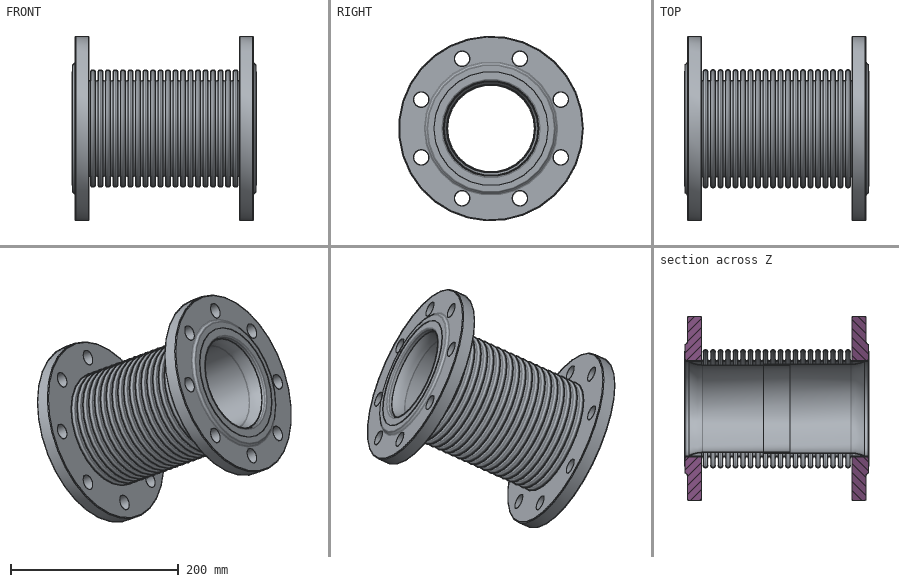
import cadquery as cq
import math

overall_length = 220.01
half_length = overall_length / 2
sheet = 0.6
diagonal = math.sqrt(0.5)

convolution_count = 20
convolution_pitch = 8.94
crest_diameter = 140.8
crest_radius = 2.8
neck_diameter = 114.3
lip_diameter = 136.0
lip_bend_radius = 1.5

flange_diameter = 220.0
flange_plate = 17.0
flange_edge_chamfer = 1.0
raised_height = 3.0
raised_base_diameter = 158.0
raised_top_diameter = raised_base_diameter - 2 * raised_height
raised_fillet = 1.0
bolt_count = 8
bolt_circle_diameter = 180.0
bolt_hole_diameter = 18.0

inner_liner_mouth = 111.3
inner_liner_bore = 103.5
outer_liner_mouth = neck_diameter - 2 * sheet - 2 * sheet
outer_liner_bore = 105.3
liner_setback = 5.6
liner_mouth_length = 16.0
liner_length = 120.0


def revolve_about_x(profile):
    return profile.close().revolve(360, (0, 0, 0), (1, 0, 0))


def mirror_to_far_end(body):
    return body.mirror("YZ")


def make_flange():
    raised_face = -half_length + sheet
    plate_front = raised_face + raised_height
    plate_back = plate_front + flange_plate
    bore_radius = neck_diameter / 2
    outer_radius = flange_diameter / 2
    top_y = raised_top_diameter / 2
    foot_y = raised_base_diameter / 2
    bend = lip_bend_radius
    bend_middle = bend * (1 - diagonal)
    chamfer = flange_edge_chamfer

    half_turn = math.radians(45 / 2)
    along_face = raised_fillet * math.tan(half_turn)
    along_rim = along_face * diagonal
    middle_axial = raised_fillet * (1 - math.cos(half_turn))
    middle_radial = raised_fillet * math.sin(half_turn) - along_face

    profile = (
        cq.Workplane("XY")
        .moveTo(raised_face + bend, bore_radius)
        .threePointArc(
            (raised_face + bend_middle, bore_radius + bend_middle),
            (raised_face, bore_radius + bend),
        )
        .lineTo(raised_face, top_y - along_face)
        .threePointArc(
            (raised_face + middle_axial, top_y + middle_radial),
            (raised_face + along_rim, top_y + along_rim),
        )
        .lineTo(plate_front - along_rim, foot_y - along_rim)
        .threePointArc(
            (plate_front - middle_axial, foot_y - middle_radial),
            (plate_front, foot_y + along_face),
        )
        .lineTo(plate_front, outer_radius - chamfer)
        .lineTo(plate_front + chamfer, outer_radius)
        .lineTo(plate_back - chamfer, outer_radius)
        .lineTo(plate_back, outer_radius - chamfer)
        .lineTo(plate_back, bore_radius)
    )
    holes = (
        cq.Workplane("YZ", origin=(plate_front, 0, 0))
        .polarArray(bolt_circle_diameter / 2, 180 / bolt_count, 360, bolt_count)
        .circle(bolt_hole_diameter / 2)
        .extrude(flange_plate)
    )
    return revolve_about_x(profile).cut(holes)


def trace_sheet_face(profile, neck_radius, tip_radius, crest_r, end, bend, side):
    """Follow one face of the bellows sheet from lip to lip; side is +1 towards +X, -1 towards -X."""
    root_r = convolution_pitch / 2 - crest_r
    crest_y = tip_radius - crest_r
    root_y = neck_radius + root_r
    crest_middle = crest_r * diagonal
    root_middle = root_r * diagonal
    bend_middle = bend * (1 - diagonal)
    first_root = convolution_pitch * convolution_count / 2

    def line(path, x, y):
        return path.lineTo(side * x, y)

    def arc(path, middle, finish):
        return path.threePointArc((side * middle[0], middle[1]), (side * finish[0], finish[1]))

    profile = line(profile, -end, neck_radius + bend)
    profile = arc(
        profile, (-end + bend_middle, neck_radius + bend_middle), (-end + bend, neck_radius)
    )
    profile = line(profile, -first_root, neck_radius)
    for i in range(convolution_count):
        start = -first_root + i * convolution_pitch
        crest = start + convolution_pitch / 2
        finish = start + convolution_pitch
        profile = arc(
            profile, (start + root_middle, root_y - root_middle), (start + root_r, root_y)
        )
        profile = line(profile, crest - crest_r, crest_y)
        profile = arc(profile, (crest - crest_middle, crest_y + crest_middle), (crest, tip_radius))
        profile = arc(
            profile, (crest + crest_middle, crest_y + crest_middle), (crest + crest_r, crest_y)
        )
        profile = line(profile, finish - root_r, root_y)
        profile = arc(
            profile, (finish - root_middle, root_y - root_middle), (finish, neck_radius)
        )
    profile = line(profile, end - bend, neck_radius)
    return arc(
        profile, (end - bend_middle, neck_radius + bend_middle), (end, neck_radius + bend)
    )


def make_bellows():
    neck_radius = neck_diameter / 2
    tip_radius = crest_diameter / 2
    lip_radius = lip_diameter / 2
    lip_back = half_length - sheet
    profile = cq.Workplane("XY").moveTo(-lip_back, lip_radius)
    profile = trace_sheet_face(
        profile, neck_radius, tip_radius, crest_radius, lip_back, lip_bend_radius, 1
    )
    profile = profile.lineTo(lip_back, lip_radius).lineTo(half_length, lip_radius)
    profile = trace_sheet_face(
        profile,
        neck_radius - sheet,
        tip_radius - sheet,
        crest_radius - sheet,
        half_length,
        lip_bend_radius + sheet,
        -1,
    )
    return revolve_about_x(profile.lineTo(-half_length, lip_radius))


def make_liner(mouth_bore, tube_bore):
    """Sheet-metal sleeve at the -X end: a rounded entry that runs tangent into a long tube."""
    mouth_x = -half_length + liner_setback
    tube_x = mouth_x + liner_mouth_length
    end_x = mouth_x + liner_length
    mouth = mouth_bore / 2
    tube = tube_bore / 2
    drop = mouth - tube
    entry_radius = (liner_mouth_length**2 + drop**2) / (2 * drop)
    half_turn = math.asin(liner_mouth_length / entry_radius) / 2
    middle_x = tube_x - entry_radius * math.sin(half_turn)
    middle_rise = entry_radius * (1 - math.cos(half_turn))
    profile = (
        cq.Workplane("XY")
        .moveTo(mouth_x, mouth)
        .threePointArc((middle_x, tube + middle_rise), (tube_x, tube))
        .lineTo(end_x, tube)
        .lineTo(end_x, tube + sheet)
        .lineTo(tube_x, tube + sheet)
        .threePointArc((middle_x, tube + sheet + middle_rise), (mouth_x, mouth + sheet))
    )
    return revolve_about_x(profile)


near_flange = make_flange()
far_flange = mirror_to_far_end(make_flange())
bellows = make_bellows()
inner_liner = make_liner(inner_liner_mouth, inner_liner_bore)
outer_liner = mirror_to_far_end(make_liner(outer_liner_mouth, outer_liner_bore))

result = cq.Compound.makeCompound(
    [near_flange.val(), far_flange.val(), bellows.val(), inner_liner.val(), outer_liner.val()]
)